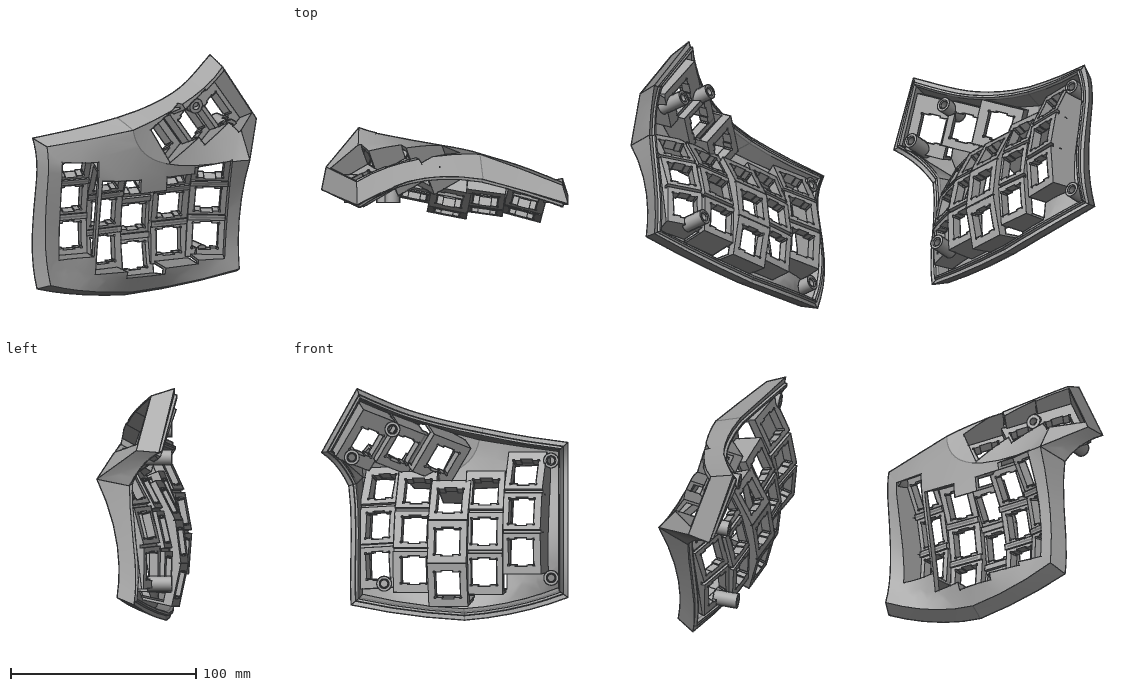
import cadquery as cq
import math


CORNERS = (0, 1, 3, 6, 8, 10, 14, 16)
WAIST = 3
CREST = 16

RIM_OUTLINE = [
    (-47.3, -16.3, 62.5),
    (-66.47, -8.1, 28.0),
    (-56.3, 3.2, 17.9),
    (-51.8, 7.8, 10.0),
    (-50.6, 7.2, -6.0),
    (-50.6, 5.3, -25.0),
    (-50.6, 5.3, -54.2),
    (-20.8, -3.4, -59.5),
    (10.7, -11.9, -62.47),
    (39.2, -14.5, -58.3),
    (66.47, -11.2, -50.2),
    (66.47, -15.8, -18.5),
    (66.47, -13.0, 2.6),
    (66.47, -11.3, 18.6),
    (66.47, -15.6, 33.5),
    (43.2, -8.7, 36.8),
    (20.7, -2.5, 41.1),
    (-3.8, -1.2, 46.4),
    (-20.8, -4.2, 51.4),
    (-36.8, -11.2, 57.8),
]

SKIN_OUTLINE = [
    (-47.5, -3.9, 58.6),
    (-64.0, 4.2, 29.0),
    (-55.15, 14.85, 21.3),
    (-46.3, 25.5, 13.6),
    (-46.4, 18.8, -3.2),
    (-46.5, 14.8, -20.0),
    (-46.5, 14.6, -50.2),
    (-20.0, 6.0, -55.5),
    (10.2, -2.5, -58.4),
    (38.0, -5.0, -54.4),
    (63.5, -2.0, -46.5),
    (63.5, -7.5, -17.5),
    (63.5, -6.0, 2.0),
    (63.5, -4.2, 17.0),
    (63.5, -5.7, 30.5),
    (43.2, 2.3, 33.2),
    (19.0, 11.0, 37.0),
    (-1.8, 10.3, 42.4),
    (-16.8, 7.8, 46.6),
    (-29.8, 4.3, 51.0),
]

CREASE_POINTS = [(-5.0, 16.5, 15.0), (13.5, 13.0, 24.0)]

SKIN_THICKNESS = 2.5
WALL_INSET = 4.6
SKIN_INSET = 2.2
LAND_WIDTH = 2.4
LIP_HEIGHT = 1.5
LIP_DRAFT = 0.3
LIP_WIDTH = 1.2
ENVELOPE_FRONT_Y = -60.0
PATCH_SEGMENTS = 40

PLATE_THICKNESS = 5.0
HOLE_SIZE = 14.0
HOLE_MARGIN = 0.5
CORNER_RELIEF_DIAMETER = 1.1
CLIP_NOTCH_WIDTH = 6.5
CLIP_NOTCH_DEPTH = 0.8
SOCKET_HALF = 10.2
SOCKET_END_HALF = 11.9
WELL_WALL = 1.4
WELL_OVERLAP = 0.3
BLOCK_DEPTH = 60.0
LARGEST_WEB = 2.0
WEB_HALF = 1.5
WEB_SETBACK = 0.6

FINGER_COLUMNS = [
    ((-36.1, -1.7, -11.1), -3.0, -26.0, -13.4, 14.0, 22.2, 11.5, 10.2),
    ((-16.4, -11.2, -13.4), 0.0, -11.5, -13.0, 15.0, 22.2, 11.2, 10.2),
    ((1.2, -20.4, -20.0), 0.0, -11.0, -7.5, 19.8, 23.3, 10.6, 10.8),
    ((21.1, -19.6, -14.4), 0.0, -8.0, -8.5, 14.0, 22.2, 10.8, 10.2),
    ((41.3, -21.0, -3.6), 0.0, -15.0, -10.5, 15.0, 22.2, 10.2, 11.0),
]
THUMB_KEYS = [
    ((-42.1, -7.0, 33.4), 12.0, 10.2, 14.5, 16.8),
    ((-22.9, -3.0, 29.4), 10.2, 10.2, 12.0, 12.8),
    ((-1.3, -1.5, 24.0), 12.4, 11.7, 12.3, 12.0),
]
THUMB_SPIN = 18.7
THUMB_ROLL = 30.0
THUMB_TILT = 29.0

POSTS = [
    (-28.2, 40.5, 0.0),
    (-50.1, 25.4, 0.0),
    (-32.7, -42.7, -2.0),
    (57.3, 23.7, 4.0),
    (57.4, -39.6, 4.0),
]
POST_END_Y = -15.0
POST_DIAMETER = 8.0
POST_BORE = 4.0
POST_MOUTH_CHAMFER = 0.6



def inset(outline, distance, shift_y=0.0):
    """Moves an outline inwards in the XZ plane, and along Y."""
    moved = []
    count = len(outline)
    for i, (x, y, z) in enumerate(outline):
        normals = []
        for start, end in ((i - 1, i), (i, (i + 1) % count)):
            dx = outline[end][0] - outline[start][0]
            dz = outline[end][2] - outline[start][2]
            length = math.hypot(dx, dz)
            normals.append((-dz / length, dx / length))
        (ax, az), (bx, bz) = normals
        miter = distance / (1 + ax * bx + az * bz)
        moved.append((x + miter * (ax + bx), y + shift_y, z + miter * (az + bz)))
    return moved


def outline_edges(outline):
    """One line or spline edge between each two successive corners."""
    edges = []
    closed = outline + outline[:1]
    ends = CORNERS[1:] + (len(outline),)
    for first, last in zip(CORNERS, ends):
        points = [cq.Vector(*p) for p in closed[first:last + 1]]
        if len(points) == 2:
            edges.append(cq.Edge.makeLine(*points))
        else:
            edges.append(cq.Edge.makeSpline(points))
    return edges


def smooth_patch(edges):
    return cq.Face.makeNSidedSurface(edges, [], maxSegments=PATCH_SEGMENTS)


def skin_faces(outline, shift_y=0.0):
    """The skin patches that close an outline: thumb end, thumb ridge and finger field."""
    middle = [(x, y + shift_y, z) for x, y, z in CREASE_POINTS]
    crease_line = [outline[WAIST]] + middle + [outline[CREST]]
    crease = cq.Edge.makeSpline([cq.Vector(*p) for p in crease_line])
    edges = outline_edges(outline)
    waist_edge = CORNERS.index(WAIST)
    crest_edge = CORNERS.index(CREST)
    points = [cq.Vector(*p) for p in outline]
    diagonal = cq.Edge.makeLine(points[WAIST], points[0])
    thumb_ridge = cq.Edge.makeSpline([points[0]] + points[:CREST - 1:-1])
    finger_edges = edges[waist_edge:crest_edge]
    return [
        smooth_patch(edges[:waist_edge] + [diagonal]),
        smooth_patch([crease, thumb_ridge, diagonal]),
        smooth_patch(finger_edges + [crease]),
    ]


def walls(outline, next_outline):
    """Ruled faces between two outlines."""
    pairs = zip(outline_edges(outline), outline_edges(next_outline))
    return [cq.Face.makeRuledSurface(edge, next_edge) for edge, next_edge in pairs]


def solid_from(faces):
    return cq.Workplane(cq.Solid.makeSolid(cq.Shell.makeShell(faces)).fix())


def make_shell():
    """Walls, lipped rim and skin."""
    lip_outer = LAND_WIDTH + LIP_DRAFT
    inner_skin = inset(SKIN_OUTLINE, SKIN_INSET, -SKIN_THICKNESS)
    loops = [
        SKIN_OUTLINE,
        RIM_OUTLINE,
        inset(RIM_OUTLINE, LAND_WIDTH),
        inset(RIM_OUTLINE, lip_outer, -LIP_HEIGHT),
        inset(RIM_OUTLINE, lip_outer + LIP_WIDTH, -LIP_HEIGHT),
        inset(RIM_OUTLINE, WALL_INSET),
        inner_skin,
    ]
    faces = skin_faces(SKIN_OUTLINE) + skin_faces(inner_skin, -SKIN_THICKNESS)
    for loop, next_loop in zip(loops, loops[1:]):
        faces += walls(loop, next_loop)
    return solid_from(faces)


def make_envelope():
    """Everything on the -Y side of the middle of the skin, within its outline."""
    middle = inset(SKIN_OUTLINE, SKIN_INSET / 2, -SKIN_THICKNESS / 2)
    front = [(x, ENVELOPE_FRONT_Y, z) for x, _, z in middle]
    faces = skin_faces(middle, -SKIN_THICKNESS / 2) + walls(middle, front)
    faces.append(cq.Face.makeFromWires(cq.Wire.assembleEdges(outline_edges(front))))
    return solid_from(faces)



def place(body, key):
    origin = (0, 0, 0)
    body = body.rotate(origin, (1, 0, 0), key["tilt"])
    body = body.rotate(origin, (0, 1, 0), key["spin"])
    body = body.rotate(origin, (0, 0, 1), key["roll"])
    return body.translate(key["centre"])


def slab(left, right, down, up, start_y, depth):
    body = cq.Workplane("XY").box(left + right, depth, down + up)
    return body.translate(((right - left) / 2, start_y + depth / 2, (up - down) / 2))


def centred_slab(width, height, start_y, depth):
    return slab(width / 2, width / 2, height / 2, height / 2, start_y, depth)


def turn_matrix(spin, roll):
    spin_matrix = cq.Matrix()
    spin_matrix.rotateY(math.radians(spin))
    roll_matrix = cq.Matrix()
    roll_matrix.rotateZ(math.radians(roll))
    return roll_matrix.multiply(spin_matrix)


def finger_column(index):
    """The keys of one column from top to bottom, on an arc about X."""
    centre, spin, roll, tilt, step, spacing, left, right = FINGER_COLUMNS[index]
    gap = spacing - 2 * SOCKET_HALF
    inner_half = SOCKET_HALF if gap < LARGEST_WEB else spacing / 2
    keys = []
    for row in (1, 0, -1):
        chord = math.radians(tilt - row * step / 2)
        back = -row * spacing * math.sin(chord)
        rise = row * spacing * math.cos(chord)
        offset = cq.Vector(0, back, rise).transform(turn_matrix(spin, roll))
        free = set()
        if row == 1:
            free.add("up")
        if row == -1:
            free.add("down")
        if index == 0:
            free.add("left")
        if index == len(FINGER_COLUMNS) - 1:
            free.add("right")
        keys.append({
            "centre": (cq.Vector(*centre) + offset).toTuple(),
            "spin": spin,
            "roll": roll,
            "tilt": tilt - row * step,
            "left": left,
            "right": right,
            "down": SOCKET_END_HALF if "down" in free else inner_half,
            "up": SOCKET_END_HALF if "up" in free else inner_half,
            "free": free,
        })
    return keys


def thumb_cluster():
    keys = []
    for index, (centre, left, right, down, up) in enumerate(THUMB_KEYS):
        free = {"down", "up"}
        if index == 0:
            free.add("left")
        if index == len(THUMB_KEYS) - 1:
            free.add("right")
        keys.append({
            "centre": centre,
            "spin": THUMB_SPIN,
            "roll": THUMB_ROLL,
            "tilt": THUMB_TILT,
            "left": left,
            "right": right,
            "down": down,
            "up": up,
            "free": free,
        })
    return keys


def socket(key, depth):
    return place(slab(key["left"], key["right"], key["down"], key["up"], 0, depth), key)


def web(upper_key, lower_key):
    """Strip that closes the gap between two sockets of a column."""
    key = dict(upper_key)
    ends = zip(upper_key["centre"], lower_key["centre"])
    key["centre"] = tuple((a + b) / 2 for a, b in ends)
    key["tilt"] = (upper_key["tilt"] + lower_key["tilt"]) / 2
    depth = PLATE_THICKNESS - WEB_SETBACK
    return place(slab(key["left"], key["right"], WEB_HALF, WEB_HALF, WEB_SETBACK, depth), key)


def recess(key):
    """The room for the keycap behind the plate, open through the skin."""
    reach = []
    for side in ("left", "right", "down", "up"):
        change = -WELL_WALL if side in key["free"] else WELL_OVERLAP
        reach.append(key[side] + change)
    return place(slab(*reach, PLATE_THICKNESS, BLOCK_DEPTH), key)


def switch_hole(key):
    """Square hole with round corner reliefs and a clip notch in its top and bottom sides."""
    start = -HOLE_MARGIN
    through = PLATE_THICKNESS + 2 * HOLE_MARGIN
    body = centred_slab(HOLE_SIZE, HOLE_SIZE, start, through)
    reliefs = (
        cq.Workplane("XZ", origin=(0, start, 0))
        .rect(HOLE_SIZE, HOLE_SIZE, forConstruction=True)
        .vertices()
        .circle(CORNER_RELIEF_DIAMETER / 2)
        .extrude(-through)
    )
    notch_height = HOLE_SIZE + 2 * CLIP_NOTCH_DEPTH
    notches = centred_slab(CLIP_NOTCH_WIDTH, notch_height, start, through)
    return place(body.union(reliefs).union(notches), key)



def post(x, z, root_y):
    """Round post bored down to the surface it stands on, with a chamfered mouth."""
    length = root_y - POST_END_Y
    return (
        cq.Workplane("XZ", origin=(x, POST_END_Y, z))
        .circle(POST_DIAMETER / 2)
        .circle(POST_BORE / 2)
        .extrude(-length)
        .faces("<Y")
        .edges(cq.selectors.RadiusNthSelector(0))
        .chamfer(POST_MOUTH_CHAMFER)
    )



def fuse(bodies):
    """Joins several bodies at once."""
    shapes = [body.val() for body in bodies]
    return cq.Workplane(shapes[0].fuse(*shapes[1:]))


def make_part():
    columns = [finger_column(index) for index in range(len(FINGER_COLUMNS))]
    keys = sum(columns, []) + thumb_cluster()
    plates = [socket(key, PLATE_THICKNESS) for key in keys]
    for column in columns:
        plates += [web(upper, lower) for upper, lower in zip(column, column[1:])]
    floor = fuse(plates)
    blocks = fuse([socket(key, BLOCK_DEPTH) for key in keys]).union(floor)
    holes = fuse([switch_hole(key) for key in keys])
    openings = fuse([recess(key) for key in keys]).cut(floor).union(holes)
    posts = fuse([post(*spec) for spec in POSTS])
    envelope = make_envelope()

    part = make_shell().union(blocks.intersect(envelope, clean=False), clean=False)
    part = part.cut(openings, clean=False)
    part = part.union(posts.intersect(envelope), clean=False)
    return cq.Workplane(part.solids().val())


result = make_part()